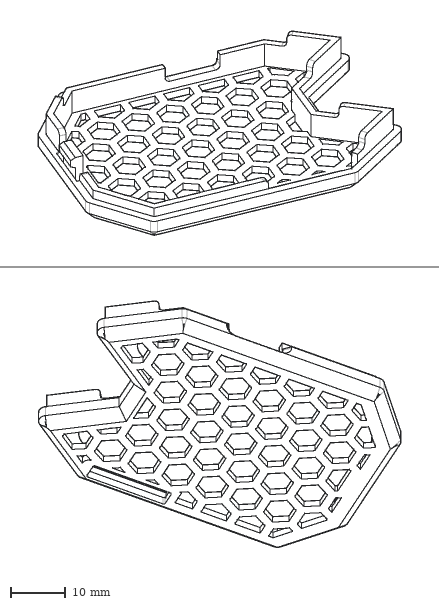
import cadquery as cq
import math

floor_top = 1.5
sill_top = 1.75
bevel_height = 2.1
rim_top = 4.55
lip_top = 6.5
tab_top = 9.25

rim_width = 1.5
lip_thickness = 1.3
bevel_inset = 1.95
lip_half_width = 20.75
lip_half_length = 29.75
shoulder_y = 17.9
hip_y = -21.6
bottom_half_width = 11.05
notch_half_width = 3.9
ear_x = (lip_half_width + notch_half_width) / 2

cell_pitch = 4.0
cell_radius = 3.0
honeycomb_y = 2.95
honeycomb_margin = 0.95
side_columns = 3
side_rows = 5

slot_left, slot_right = 16.7, 19.75
slot_bottom, slot_top = 2.0, 18.0
slot_corner = 0.3
frame_left = 15.75
frame_bottom, frame_top = 0.45, 20.1
frame_corner = 1.25
lip_gap_bottom = 1.25
ear_lip_length = 12.5

ear_tab_length = 10.0
corner_tab_length = 6.5
corner_tab_end_x = -4.8
end_round = 0.95

thumb_bottom, thumb_top = -2.4, 8.55
thumb_floor = 3.3
thumb_corner = 0.95
thumb_bevel = 1.2

latch_half_width = 2.75
latch_gap_half_width = 4.8
latch_gap_outer, latch_gap_inner = -30.3, -28.4
latch_back = -28.2
latch_gusset = 0.95
latch_neck_top = 6.05
latch_barb_y = -30.7
latch_barb_bottom, latch_barb_top = 6.55, 7.95
latch_top = 8.4
latch_frame_half_width = 3.45
latch_frame_y = -25.2

reach = 3.1

lip_points = [
    (-lip_half_width, hip_y),
    (-bottom_half_width, -lip_half_length),
    (bottom_half_width, -lip_half_length),
    (lip_half_width, hip_y),
    (lip_half_width, shoulder_y),
    (ear_x, lip_half_length),
    (notch_half_width, shoulder_y),
    (-notch_half_width, shoulder_y),
    (-ear_x, lip_half_length),
    (-lip_half_width, shoulder_y),
]


def outline(offset=0.0, kind="intersection", z=0.0):
    """Lip outline at height z, grown or shrunk by an offset."""
    sketch = cq.Workplane("XY", origin=(0, 0, z)).polyline(lip_points).close()
    return sketch.offset2D(offset, kind) if offset else sketch


def box(x0, x1, y0, y1, z0, z1):
    return cq.Workplane("XY").box(x1 - x0, y1 - y0, z1 - z0, centered=False).translate((x0, y0, z0))


def base():
    """Rounded rim over a bevelled underside; the bevel turns round each corner as a cone."""
    slope = math.degrees(math.atan2(bevel_inset, bevel_height))
    sharp_height = bevel_height * (bevel_inset - rim_width) / bevel_inset
    rim = outline(rim_width, "arc", bevel_height).extrude(rim_top - bevel_height)
    lower = cq.Workplane(cq.Solid.makeLoft([
        outline(rim_width - bevel_inset).val(),
        outline(z=sharp_height).wire().val(),
    ], True))
    upper = outline(z=sharp_height).extrude(bevel_height - sharp_height, taper=-slope)
    return rim.union(upper).union(lower)


def lip_ring(z0, z1):
    """Closed wall along the lip between two heights."""
    outer = outline(z=z0).extrude(z1 - z0)
    return outer.cut(outline(-lip_thickness, z=z0).extrude(z1 - z0))


def tab_block(start, end, length):
    """Block above the lip from start toward end, stepping down to it in an S curve."""
    angle = math.atan2(end[1] - start[1], end[0] - start[0])
    direction = cq.Vector(math.cos(angle), math.sin(angle), 0)
    normal = cq.Vector(math.sin(angle), -math.cos(angle), 0)
    plane = cq.Plane(origin=(start[0], start[1], 0), xDir=direction, normal=normal)
    side = (
        cq.Workplane(plane)
        .moveTo(-reach, lip_top)
        .lineTo(length + end_round, lip_top)
        .radiusArc((length, lip_top + end_round), end_round)
        .lineTo(length, tab_top - end_round)
        .radiusArc((length - end_round, tab_top), -end_round)
        .lineTo(-reach, tab_top)
        .close()
    )
    block_half_width = 1.5 * lip_thickness
    return side.extrude(block_half_width, both=True)


def tabs():
    """Two V-shaped tabs in the ears and one round the lower-left corner."""
    hip, corner = lip_points[0], lip_points[1]
    blocks = tab_block(corner, hip, corner_tab_length)
    for side in (-1, 1):
        peak = (side * ear_x, lip_half_length)
        for foot_x in (lip_half_width, notch_half_width):
            blocks = blocks.union(tab_block(peak, (side * foot_x, shoulder_y), ear_tab_length))
    end_block = box(-bottom_half_width, corner_tab_end_x, -lip_half_length, latch_back, lip_top, tab_top)
    blocks = blocks.union(end_block.edges("|Y and >X and >Z").fillet(end_round))
    return lip_ring(lip_top, tab_top).intersect(blocks)


def honeycomb():
    """Hexagonal holes, trimmed to the floor and kept clear of the slot and the latch."""
    cells = []
    column_step = 1.5 * cell_pitch
    row_step = math.sqrt(3) * cell_pitch
    for column in range(-side_columns, side_columns + 1):
        stagger = 0.5 * (column % 2)
        for row in range(-side_rows, side_rows):
            cells.append((column_step * column, honeycomb_y + row_step * (row + stagger)))
    holes = cq.Workplane("XY").pushPoints(cells).polygon(6, 2 * cell_radius).extrude(floor_top)
    field = outline(-lip_thickness - honeycomb_margin).extrude(floor_top)
    holes = holes.intersect(field.translate((0, honeycomb_margin, 0)))
    frame = box(frame_left, lip_half_width, frame_bottom, frame_top, 0, floor_top)
    frame = frame.edges("|Z and <X and >Y").fillet(frame_corner)
    latch_frame = box(-latch_frame_half_width, latch_frame_half_width,
                      -lip_half_length, latch_frame_y, 0, floor_top)
    return holes.cut(frame).cut(latch_frame)


def slot():
    """Long hole through the floor, reaching under the open stretch of the lip."""
    hole = box(slot_left, slot_right, slot_bottom, slot_top, 0, sill_top)
    return hole.edges("|Z").fillet(slot_corner)


def lip_gap():
    """Opening beside the slot; its upper end is square to the sloping ear wall."""
    run, drop = lip_half_width - ear_x, lip_half_length - shoulder_y
    wall = math.hypot(run, drop)
    along = (run / wall, -drop / wall)
    end_x = ear_x + ear_lip_length * along[0]
    end_y = lip_half_length + ear_lip_length * along[1]
    points = [
        (end_x, end_y),
        (end_x + lip_thickness * along[1], end_y - lip_thickness * along[0]),
        (lip_half_width - reach, shoulder_y - reach),
        (lip_half_width - reach, lip_gap_bottom),
        (lip_half_width, lip_gap_bottom),
        (lip_half_width, shoulder_y),
    ]
    return cq.Workplane("XY", origin=(0, 0, sill_top)).polyline(points).close().extrude(tab_top)


def thumb_notch():
    """Round-bottomed notch through the lip, flaring out where it opens through the rim."""
    length = thumb_top - thumb_bottom
    height = tab_top - thumb_floor
    start_x = -lip_half_width - rim_width + thumb_bevel
    middle = (thumb_bottom + thumb_top) / 2

    def profile():
        center = (start_x, middle, thumb_floor + height / 2)
        plane = cq.Plane(origin=center, xDir=(0, 1, 0), normal=(-1, 0, 0))
        section = cq.Sketch().rect(length, height).vertices().fillet(thumb_corner)
        return cq.Workplane(plane).placeSketch(section)

    return profile().extrude(-reach).union(profile().extrude(thumb_bevel, taper=-45))


def latch():
    """Upright tongue with an outward barb and a gusset at its foot."""
    side = [
        (latch_back + latch_gusset, floor_top),
        (-lip_half_length, floor_top),
        (-lip_half_length, latch_neck_top),
        (latch_barb_y, latch_barb_bottom),
        (latch_barb_y, latch_barb_top),
        (-lip_half_length, latch_top),
        (latch_back, latch_top),
        (latch_back, floor_top + latch_gusset),
    ]
    section = cq.Workplane("YZ", origin=(-latch_half_width, 0, 0)).polyline(side).close()
    return section.extrude(2 * latch_half_width)


def latch_gap():
    """Clearance round the latch, cut through the lip and a little into the rim."""
    return box(-latch_gap_half_width, latch_gap_half_width,
               latch_gap_outer, latch_gap_inner, sill_top, tab_top)


def lip():
    """Lip wall with its gaps; the two free ends are rounded along the top edge."""
    wall = lip_ring(floor_top, lip_top).cut(lip_gap()).cut(latch_gap())
    middle = lip_thickness / 2
    for end in (
        (lip_half_width - middle, lip_gap_bottom, lip_top),
        (latch_gap_half_width, -lip_half_length + middle, lip_top),
    ):
        wall = wall.edges(cq.selectors.NearestToPointSelector(end)).fillet(end_round)
    return wall


cavity = outline(-lip_thickness, z=floor_top).extrude(tab_top)
body = base().cut(cavity).cut(lip_gap()).cut(latch_gap())
body = body.union(lip()).union(tabs()).cut(thumb_notch()).union(latch())
result = body.cut(honeycomb()).cut(slot())